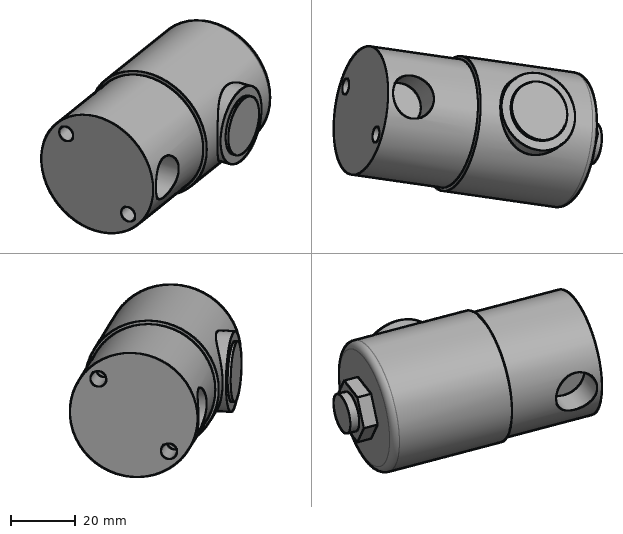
import cadquery as cq
import math

overall_length = 78.9

base_radius = 40.0 / 2
base_length = 30.5
neck_radius = 12.7
port_y = 8.6
port_radius = 6.95
port_depth = 9.6
screw_hole_radius = 5.0 / 2
screw_hole_offset = 11.05
screw_hole_depth = 10.0

housing_radius = 21.0
gap = 0.5
housing_start = base_length + gap
housing_end = 71.3
rim_fillet = 2.3

nut_flats = 17.0
nut_corners = nut_flats / math.cos(math.pi / 6)
nut_end = 75.9
stud_radius = 6.3

boss_y = 50.05
boss_radius = 12.5
boss_reach = 22.0
boss_step_radius = 9.4
boss_step_reach = 23.0


def axial_cylinder(radius, start, end):
    """Cylinder on the main axis between two Y positions."""
    return cq.Workplane("XZ", origin=(0, start, 0)).circle(radius).extrude(start - end)


def side_cylinder(radius, y, start, end):
    """Cylinder parallel to X between two X positions."""
    return cq.Workplane("YZ", origin=(start, y, 0)).circle(radius).extrude(end - start)


def make_base():
    body = axial_cylinder(base_radius, 0, base_length)
    body = body.union(axial_cylinder(neck_radius, base_length, housing_start))

    for side in (-1, 1):
        floor_x = side * (base_radius - port_depth)
        body = body.cut(side_cylinder(port_radius, port_y, floor_x, side * base_radius))

    screw_hole = axial_cylinder(screw_hole_radius, 0, screw_hole_depth)
    for side in (-1, 1):
        offset = side * screw_hole_offset
        body = body.cut(screw_hole.translate((offset, 0, -offset)))
    return body


def make_housing():
    body = axial_cylinder(housing_radius, housing_start, housing_end)
    body = body.faces(">Y").edges().fillet(rim_fillet)

    nut = cq.Workplane("XZ", origin=(0, housing_end, 0))
    nut = nut.polygon(6, nut_corners).extrude(housing_end - nut_end)
    body = body.union(nut)
    body = body.union(axial_cylinder(stud_radius, nut_end, overall_length))

    body = body.union(side_cylinder(boss_radius, boss_y, 0, boss_reach))
    body = body.union(side_cylinder(boss_step_radius, boss_y, boss_reach, boss_step_reach))
    return body


base = make_base()
housing = make_housing()
result = cq.Compound.makeCompound([base.val(), housing.val()])